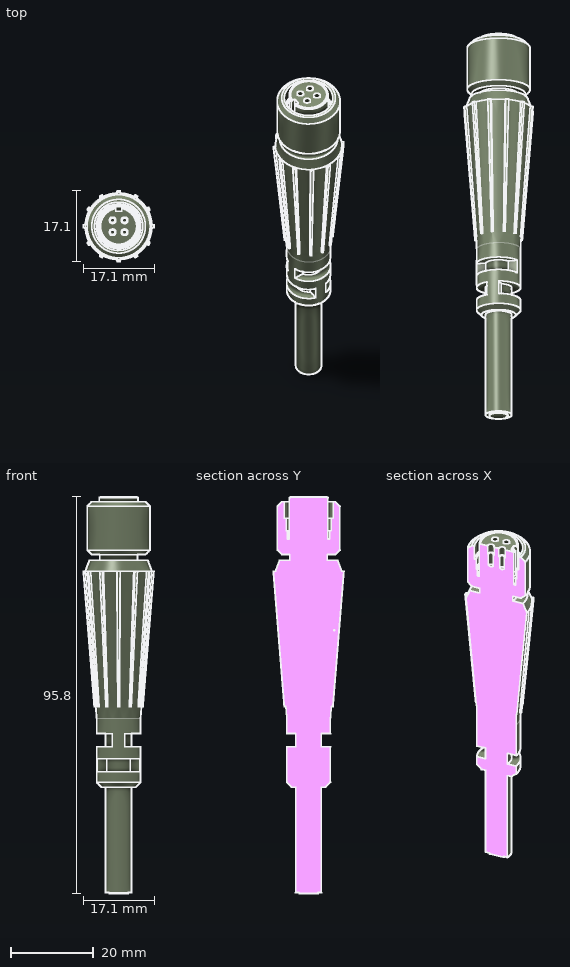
import cadquery as cq
import math

total_length = 95.78

cable_diameter = 6.35
core_diameter = 4.57
core_protrusion = 0.25

nut_top_depth = 1.14
nut_bottom_depth = 13.97
collar_top_depth = 15.3
collar_bottom_depth = 17.9
rib_end_depth = 50.65
taper_end_depth = 53.4
sleeve_end_depth = 70.1

nut_diameter = 15.24
nut_chamfer = 1.13
mouth_diameter = 11.71
mouth_length = 4.0
thread_diameter = 10.79
thread_length = 3.0
shoulder_diameter = 10.16
bore_length = 9.0

insert_diameter = 9.42
insert_face_diameter = 8.7
insert_bevel_height = 0.2
neck_diameter = 9.14
key_width = 1.44
key_inner_radius = 3.6
key_length = 8.0
contact_count = 4
contact_circle_radius = 2.04
contact_diameter = 1.14
contact_mouth_diameter = 1.57
contact_mouth_length = 2.5
contact_length = 6.0
contact_tip_angle = 118

collar_top_diameter = 14.15
grip_diameter = 16.1
sleeve_diameter = 10.67
sleeve_chamfer = 1.2
rib_count = 12
rib_tip_diameter_top = 17.1
rib_tip_diameter_end = 11.8
rib_root_inset = 1.0
rib_root_width_top = 1.1
rib_tip_width_top = 0.7
rib_root_width_end = 0.7
rib_tip_width_end = 0.3
window_height = 3.17
window_depths = (57.13, 63.2)
web_width = 2.98


def height(depth):
    """Z position of a point at the given distance below the mating face."""
    return total_length - depth


def cylinder(diameter, bottom, top):
    return cq.Workplane("XY").workplane(offset=bottom).circle(diameter / 2).extrude(top - bottom)


def frustum(bottom_diameter, top_diameter, bottom, top):
    profile = [(0, bottom), (bottom_diameter / 2, bottom), (top_diameter / 2, top), (0, top)]
    return cq.Workplane("XZ").polyline(profile).close().revolve(360, (0, 0, 0), (0, 1, 0))


def make_cable():
    jacket = cylinder(cable_diameter, core_protrusion, height(taper_end_depth))
    core = cylinder(core_diameter, 0, core_protrusion)
    return jacket.union(core)


def rib_section(tip_diameter, root_width, tip_width):
    """Corner points of a trapezoid across a rib on the +X side."""
    tip = tip_diameter / 2
    root = tip - rib_root_inset
    return [(root, -root_width / 2), (tip, -tip_width / 2), (tip, tip_width / 2), (root, root_width / 2)]


def make_rib():
    """Rib that shrinks and leans inward as it runs down the grip cone."""
    bottom = height(rib_end_depth)
    top = height(collar_bottom_depth)
    end_section = rib_section(rib_tip_diameter_end, rib_root_width_end, rib_tip_width_end)
    top_section = rib_section(rib_tip_diameter_top, rib_root_width_top, rib_tip_width_top)
    rib = cq.Workplane("XY").workplane(offset=bottom).polyline(end_section).close()
    rib = rib.workplane(offset=top - bottom).polyline(top_section).close()
    return rib.loft(ruled=True)


def make_grip():
    collar_bottom = height(collar_bottom_depth)
    taper_end = height(taper_end_depth)
    grip = frustum(sleeve_diameter, grip_diameter, taper_end, collar_bottom)
    grip = grip.union(frustum(grip_diameter, collar_top_diameter, collar_bottom, height(collar_top_depth)))
    rib = make_rib()
    for index in range(rib_count):
        grip = grip.union(rib.rotate((0, 0, 0), (0, 0, 1), index * 360 / rib_count))
    return grip


def make_sleeve():
    """Strain relief sleeve with two pairs of windows, the lower pair turned a quarter turn."""
    sleeve = cylinder(sleeve_diameter, height(sleeve_end_depth), height(taper_end_depth))
    sleeve = sleeve.faces("<Z").chamfer(sleeve_chamfer)
    for index, depth in enumerate(window_depths):
        bottom = height(depth + window_height)
        web = cq.Workplane("XY").workplane(offset=bottom).rect(web_width, sleeve_diameter)
        window = cylinder(sleeve_diameter, bottom, height(depth)).cut(web.extrude(window_height))
        sleeve = sleeve.cut(window.rotate((0, 0, 0), (0, 0, 1), index * 90))
    return sleeve


def make_nut():
    top = height(nut_top_depth)
    nut = cylinder(nut_diameter, height(nut_bottom_depth), top)
    nut = nut.faces("<Z or >Z").chamfer(nut_chamfer)
    mouth_end = top - mouth_length
    thread_end = mouth_end - thread_length
    nut = nut.cut(cylinder(mouth_diameter, mouth_end, top))
    nut = nut.cut(cylinder(thread_diameter, thread_end, mouth_end))
    return nut.cut(cylinder(shoulder_diameter, top - bore_length, thread_end))


def make_contact_hole():
    tip_length = contact_diameter / 2 / math.tan(math.radians(contact_tip_angle / 2))
    tip_top = total_length - contact_length
    mouth_end = total_length - contact_mouth_length
    hole = cylinder(contact_diameter, tip_top, total_length)
    hole = hole.union(cylinder(contact_mouth_diameter, mouth_end, total_length))
    tip = [(0, tip_top), (contact_diameter / 2, tip_top), (0, tip_top - tip_length)]
    return hole.union(cq.Workplane("XZ").polyline(tip).close().revolve(360, (0, 0, 0), (0, 1, 0)))


def make_insert():
    """Contact carrier with a keyway on +Y, continuing down as the neck to the collar."""
    bevel_bottom = total_length - insert_bevel_height
    nut_floor = height(nut_top_depth + bore_length)
    insert = cylinder(insert_diameter, nut_floor, bevel_bottom)
    insert = insert.union(frustum(insert_diameter, insert_face_diameter, bevel_bottom, total_length))
    insert = insert.union(cylinder(neck_diameter, height(collar_top_depth), nut_floor))
    key_depth = insert_diameter / 2 - key_inner_radius
    keyway = cq.Workplane("XY").box(key_width, key_depth, key_length, centered=(True, False, False))
    insert = insert.cut(keyway.translate((0, key_inner_radius, total_length - key_length)))
    hole = make_contact_hole().translate((contact_circle_radius, 0, 0))
    for index in range(contact_count):
        angle = (index + 0.5) * 360 / contact_count
        insert = insert.cut(hole.rotate((0, 0, 0), (0, 0, 1), angle))
    return insert


result = make_cable().union(make_sleeve()).union(make_grip()).union(make_nut()).union(make_insert())